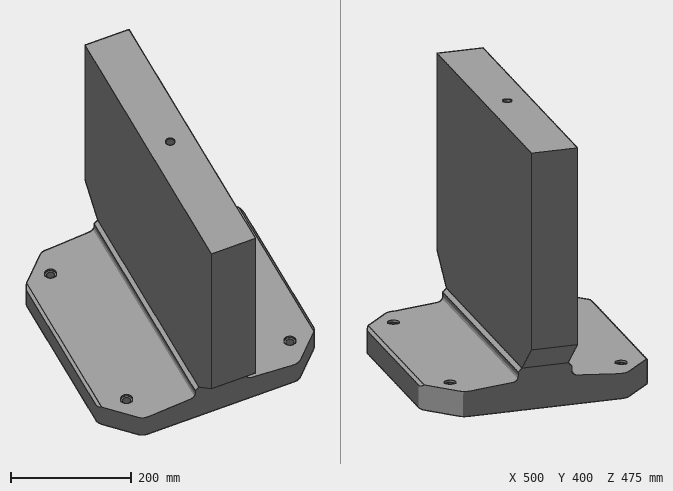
import cadquery as cq
import math

base_size = 400.0
base_edge_height = 45.0
corner_face_length = 80.0
corner_cut = corner_face_length / math.sqrt(2)
corner_radius = 20.0
edge_chamfer = 5.0
flat_rim_width = 70.0

neck_thickness = 94.0
neck_top = 75.0
slope_angle = 5.0
root_radius = 10.0

wall_width = 500.0
wall_thickness = 81.0
wall_top = 475.0
wall_overhang = (wall_width - base_size) / 2
shoulder_chamfer = (neck_thickness - wall_thickness) / 2

mounting_spacing = 300.0
mounting_diameter = 13.5
mounting_head_diameter = 20.0
mounting_head_depth = 4.0
lifting_diameter = 14.0
lifting_mouth_diameter = 16.0
lifting_depth = 40.0
countersink_angle = 90.0
drill_point_angle = 118.0


def make_base_and_neck():
    """Stepped profile swept along X, with the four plan corners cut off and rounded."""
    half_base = base_size / 2
    half_neck = neck_thickness / 2
    half_wall = wall_thickness / 2
    slope_start = half_base - flat_rim_width
    slope_rise = (slope_start - half_neck) * math.tan(math.radians(slope_angle))
    root_height = base_edge_height + slope_rise

    right_side = [
        (half_base, 0),
        (half_base, base_edge_height - edge_chamfer),
        (half_base - edge_chamfer, base_edge_height),
        (slope_start, base_edge_height),
        (half_neck, root_height),
        (half_neck, neck_top - shoulder_chamfer),
        (half_wall, neck_top),
    ]
    left_side = [(-y, z) for y, z in reversed(right_side)]
    body = (
        cq.Workplane("YZ")
        .polyline(right_side + left_side)
        .close()
        .extrude(half_base, both=True)
    )
    for side in (-1, 1):
        root_edge = cq.selectors.NearestToPointSelector((0, side * half_neck, root_height))
        body = body.edges(root_edge).fillet(root_radius)

    plan = (
        cq.Workplane("XY")
        .rect(base_size, base_size)
        .extrude(neck_top)
        .edges("|Z")
        .chamfer(corner_cut)
        .edges("|Z")
        .fillet(corner_radius)
    )
    return body.intersect(plan)


def make_wall():
    """Upright slab whose lower corners slope in at 45 degrees to the base width."""
    half_base = base_size / 2
    half_wall_width = wall_width / 2
    overhang_top = neck_top + wall_overhang
    outline = [
        (-half_base, neck_top),
        (half_base, neck_top),
        (half_wall_width, overhang_top),
        (half_wall_width, wall_top),
        (-half_wall_width, wall_top),
        (-half_wall_width, overhang_top),
    ]
    return (
        cq.Workplane("XZ")
        .polyline(outline)
        .close()
        .extrude(wall_thickness / 2, both=True)
    )


def drill_mounting_holes(body):
    """Four counterbored through holes in the flat rims of the base."""
    return (
        body.copyWorkplane(cq.Workplane("XY", origin=(0, 0, base_edge_height)))
        .rect(mounting_spacing, mounting_spacing, forConstruction=True)
        .vertices()
        .cboreHole(mounting_diameter, mounting_head_diameter, mounting_head_depth)
    )


def drill_lifting_hole(body):
    """Countersunk blind hole with a conical drill point, in the middle of the wall's top face."""
    hole_radius = lifting_diameter / 2
    mouth_radius = lifting_mouth_diameter / 2
    countersink_depth = (mouth_radius - hole_radius) / math.tan(math.radians(countersink_angle / 2))
    point_depth = hole_radius / math.tan(math.radians(drill_point_angle / 2))
    shoulder = wall_top - lifting_depth
    half_section = [
        (0, wall_top),
        (0, shoulder - point_depth),
        (hole_radius, shoulder),
        (hole_radius, wall_top - countersink_depth),
        (mouth_radius, wall_top),
    ]
    drill = cq.Workplane("YZ").polyline(half_section).close().revolve(360, (0, 0), (0, 1))
    return body.cut(drill)


result = make_base_and_neck().union(make_wall())
result = drill_mounting_holes(result)
result = drill_lifting_hole(result)